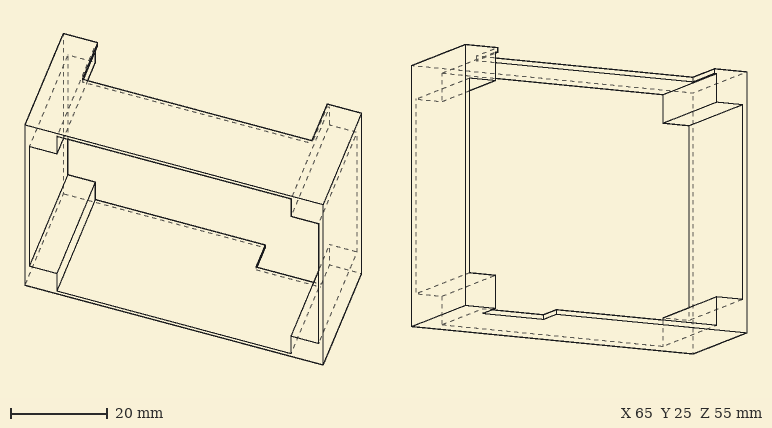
import cadquery as cq

width = 65.0
depth = 25.0
height = 55.0
wall = 1.0

post = 7.0

top_cutout_width = 50.0
top_cutout_depth = 10.0

step_start_x = 44.0
step_end_x = width - post
step_depth = 6.0


def block(x, y, z, size_x, size_y, size_z):
    """Box with its lowest corner at (x, y, z)."""
    return cq.Workplane("XY").box(size_x, size_y, size_z, centered=False).translate((x, y, z))


def make_frame():
    outer = block(0, 0, 0, width, depth, height)
    opening = block(wall, 0, wall, width - 2 * wall, depth, height - 2 * wall)
    return outer.cut(opening)


def cut_top_wall(body):
    cutout_x = (width - top_cutout_width) / 2
    cutout_y = depth - top_cutout_depth
    return body.cut(block(cutout_x, cutout_y, height - wall, top_cutout_width, top_cutout_depth, wall))


def cut_bottom_wall(body):
    step_width = step_end_x - step_start_x
    return body.cut(block(step_start_x, depth - step_depth, 0, step_width, step_depth, wall))


def add_corner_posts(body):
    for x in (0, width - post):
        for z in (0, height - post):
            body = body.union(block(x, 0, z, post, depth, post), clean=False)
    return body


frame = make_frame()
frame = cut_top_wall(frame)
frame = cut_bottom_wall(frame)
result = add_corner_posts(frame)